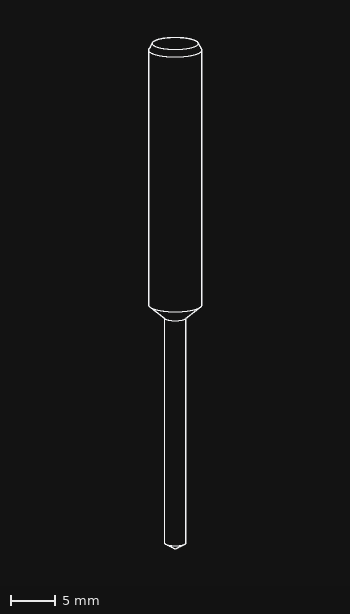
import cadquery as cq

total_length = 59.0
shank_diameter = 6.0
cutter_diameter = 2.4
tip_height = 0.7
cutter_length = 26.95
taper_height = 1.55
top_chamfer_width = 0.4
top_chamfer_height = 0.75

shank_radius = shank_diameter / 2
cutter_radius = cutter_diameter / 2


def revolve_profile(points):
    """Turn a closed radius-height outline around the Z axis."""
    axis_start = (0, 0)
    axis_end = (0, 1)
    return cq.Workplane("XZ").polyline(points).close().revolve(360, axis_start, axis_end)


def make_shank():
    """Thick shank with a chamfered top and a taper down to the cutter."""
    return revolve_profile([
        (0, cutter_length),
        (cutter_radius, cutter_length),
        (shank_radius, cutter_length + taper_height),
        (shank_radius, total_length - top_chamfer_height),
        (shank_radius - top_chamfer_width, total_length),
        (0, total_length),
    ])


def make_cutter():
    """Thin cutter rod with a conical point, butted against the shank."""
    return revolve_profile([
        (0, 0),
        (cutter_radius, tip_height),
        (cutter_radius, cutter_length),
        (0, cutter_length),
    ])


shank = make_shank()
cutter = make_cutter()

result = cq.Compound.makeCompound([shank.val(), cutter.val()])